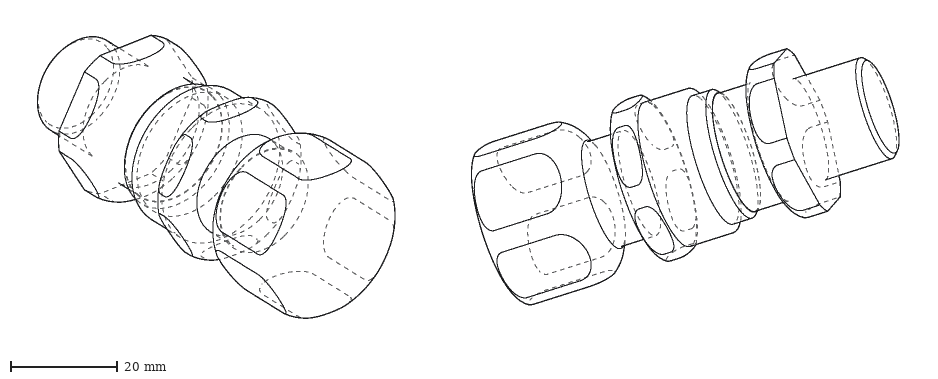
import cadquery as cq
import math

LENGTH = 77.8
HEX_FLATS = 30.0
HEX_CORNER_R = 16.22

SPIGOT_R = 9.995
SPIGOT_CHAMFER = 0.85
SPIGOT_FILLET = 0.55
FLANGE_START = 14.9
FLANGE_ROUND_START = 18.35
FLANGE_ROUND = 3.5
SHANK_R = 11.7

COLLAR_START = 29.4
COLLAR_R = 12.72
COLLAR_CHAMFER = 0.9

SLEEVE_START = 34.2
SLEEVE_R = 14.275
SLEEVE_ROUND = 0.55

LOCK_NUT_START = 43.6
LOCK_NUT_END = 49.25
LOCK_NUT_FRONT_ROUND = 1.9
LOCK_NUT_BACK_ROUND = 2.6

NECK_R = 10.385
NECK_FILLET = 0.3
NUT_FACE = 56.55
DOME_EDGE_R = 12.4
DOME_ROUND = 7.3
DOME_END = 63.9
NUT_BACK_ROUND = 3.1


def revolve(profile):
    """Turn a closed half profile, drawn as (x, radius), about the X axis."""
    return profile.close().revolve(360, (0, 0, 0), (1, 0, 0))


def arc_point(center_x, center_r, radius, degrees):
    """Point on a circle in the (x, radius) half plane; 0 degrees points along +X."""
    angle = math.radians(degrees)
    return (center_x + radius * math.cos(angle), center_r + radius * math.sin(angle))


def hex_prism(start, end):
    """Hexagon bar along X with flats at the top and bottom."""
    corner_diameter = HEX_FLATS / math.cos(math.pi / 6)
    return cq.Workplane("YZ", origin=(start, 0, 0)).polygon(6, corner_diameter).extrude(end - start)


def make_entry_body():
    round_end = FLANGE_ROUND_START + FLANGE_ROUND
    round_center_r = HEX_CORNER_R - FLANGE_ROUND
    shank_fillet = round_center_r - SHANK_R
    shank_start = round_end + shank_fillet
    fillet_start = FLANGE_START - SPIGOT_FILLET
    fillet_r = SPIGOT_R + SPIGOT_FILLET
    spigot = revolve(
        cq.Workplane("XY")
        .lineTo(0, SPIGOT_R - SPIGOT_CHAMFER)
        .lineTo(SPIGOT_CHAMFER, SPIGOT_R)
        .lineTo(fillet_start, SPIGOT_R)
        .threePointArc(arc_point(fillet_start, fillet_r, SPIGOT_FILLET, -45), (FLANGE_START, fillet_r))
        .lineTo(FLANGE_START, 0)
    )
    flange_and_shank = revolve(
        cq.Workplane("XY")
        .moveTo(FLANGE_START, 0)
        .lineTo(FLANGE_START, HEX_CORNER_R)
        .lineTo(FLANGE_ROUND_START, HEX_CORNER_R)
        .threePointArc(
            arc_point(FLANGE_ROUND_START, round_center_r, FLANGE_ROUND, 45),
            (round_end, round_center_r),
        )
        .threePointArc(
            arc_point(shank_start, round_center_r, shank_fillet, 225),
            (shank_start, SHANK_R),
        )
        .lineTo(COLLAR_START, SHANK_R)
        .lineTo(COLLAR_START, 0)
    )
    return spigot.union(flange_and_shank.intersect(hex_prism(FLANGE_START, COLLAR_START)))


def make_collar():
    return revolve(
        cq.Workplane("XY")
        .moveTo(COLLAR_START, 0)
        .lineTo(COLLAR_START, COLLAR_R - COLLAR_CHAMFER)
        .lineTo(COLLAR_START + COLLAR_CHAMFER, COLLAR_R)
        .lineTo(SLEEVE_START, COLLAR_R)
        .lineTo(SLEEVE_START, 0)
    )


def make_sleeve():
    sleeve = cq.Workplane("YZ", origin=(SLEEVE_START, 0, 0)).circle(SLEEVE_R)
    return sleeve.extrude(LOCK_NUT_START - SLEEVE_START).faces("<X").edges().fillet(SLEEVE_ROUND)


def make_lock_nut():
    front_center = LOCK_NUT_START + LOCK_NUT_FRONT_ROUND
    front_center_r = HEX_CORNER_R - LOCK_NUT_FRONT_ROUND
    back_center = LOCK_NUT_END - LOCK_NUT_BACK_ROUND
    back_center_r = HEX_CORNER_R - LOCK_NUT_BACK_ROUND
    turned = revolve(
        cq.Workplane("XY")
        .moveTo(LOCK_NUT_START, 0)
        .lineTo(LOCK_NUT_START, front_center_r)
        .threePointArc(
            arc_point(front_center, front_center_r, LOCK_NUT_FRONT_ROUND, 135),
            (front_center, HEX_CORNER_R),
        )
        .lineTo(back_center, HEX_CORNER_R)
        .threePointArc(
            arc_point(back_center, back_center_r, LOCK_NUT_BACK_ROUND, 45),
            (LOCK_NUT_END, back_center_r),
        )
        .lineTo(LOCK_NUT_END, 0)
    )
    return turned.intersect(hex_prism(LOCK_NUT_START, LOCK_NUT_END))


def make_cap_nut():
    dome_center_r = HEX_CORNER_R - DOME_ROUND
    dome_edge_angle = 180 - math.degrees(math.asin((DOME_EDGE_R - dome_center_r) / DOME_ROUND))
    dome_middle_angle = (dome_edge_angle + 90) / 2
    back_center = LENGTH - NUT_BACK_ROUND
    back_center_r = HEX_CORNER_R - NUT_BACK_ROUND
    neck_end = NUT_FACE - NECK_FILLET
    fillet_r = NECK_R + NECK_FILLET
    turned = revolve(
        cq.Workplane("XY")
        .moveTo(LOCK_NUT_END, 0)
        .lineTo(LOCK_NUT_END, NECK_R)
        .lineTo(neck_end, NECK_R)
        .threePointArc(arc_point(neck_end, fillet_r, NECK_FILLET, -45), (NUT_FACE, fillet_r))
        .lineTo(*arc_point(DOME_END, dome_center_r, DOME_ROUND, dome_edge_angle))
        .threePointArc(
            arc_point(DOME_END, dome_center_r, DOME_ROUND, dome_middle_angle),
            (DOME_END, HEX_CORNER_R),
        )
        .lineTo(back_center, HEX_CORNER_R)
        .threePointArc(
            arc_point(back_center, back_center_r, NUT_BACK_ROUND, 45),
            (LENGTH, back_center_r),
        )
        .lineTo(LENGTH, 0)
    )
    return turned.intersect(hex_prism(LOCK_NUT_END, LENGTH))


entry_body = make_entry_body()
collar = make_collar()
sleeve = make_sleeve()
lock_nut = make_lock_nut()
cap_nut = make_cap_nut()

result = cq.Compound.makeCompound(
    [entry_body.val(), collar.val(), sleeve.val(), lock_nut.val(), cap_nut.val()]
)